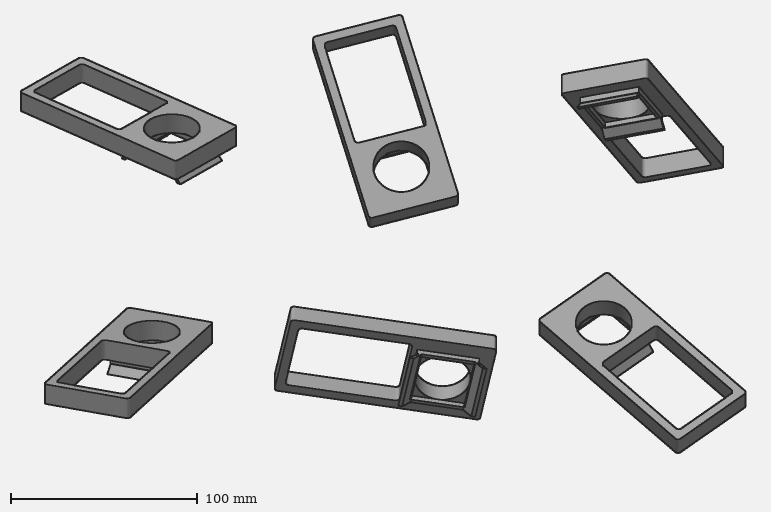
import cadquery as cq

plate_length = 112.0
plate_width = 49.8
plate_height = 11.5
outer_radius = 1.9

rim = 5.0
window_length = 62.0
window_width = plate_width - 2 * rim
window_radius = 2.0

hole_diameter = 30.0
hole_x = 87.0
collar_opening = hole_diameter
collar_wall = 1.9
collar_size = collar_opening + 2 * collar_wall
collar_height = 3.4

lip_drop = 4.5
lip_spread = lip_drop
lip_thickness_x = 2.1
lip_inset = 0.5


def make_plate():
    """Rounded plate with its underside at Z = 0 and its left end at X = 0."""
    plate = (
        cq.Workplane("XY")
        .box(plate_length, plate_width, plate_height, centered=(False, True, False))
        .edges("|Z")
        .fillet(outer_radius)
    )
    window = (
        cq.Workplane("XY")
        .center(rim + window_length / 2, 0)
        .rect(window_length, window_width)
        .extrude(plate_height)
        .edges("|Z")
        .fillet(window_radius)
    )
    hole = cq.Workplane("XY").center(hole_x, 0).circle(hole_diameter / 2).extrude(plate_height)
    return plate.cut(window).cut(hole)


def make_collar():
    """Rectangular tube hanging below the plate around the hole."""
    return (
        cq.Workplane("XY")
        .center(hole_x, 0)
        .rect(collar_size, collar_size)
        .rect(collar_opening, collar_opening)
        .extrude(-collar_height)
    )


def make_lip(side):
    """Slanted lip leaning outwards; side is -1 for -X and +1 for +X, set in from the collar face."""
    top_outer = hole_x + side * (collar_size / 2 - lip_inset)
    top_inner = top_outer - side * lip_thickness_x
    spread = side * lip_spread
    lip_bottom = -collar_height - lip_drop
    profile = [
        (top_outer, -collar_height),
        (top_inner, -collar_height),
        (top_inner + spread, lip_bottom),
        (top_outer + spread, lip_bottom),
    ]
    return cq.Workplane("XZ").polyline(profile).close().extrude(collar_size / 2, both=True)


result = make_plate().union(make_collar())
for lip_side in (-1, 1):
    result = result.union(make_lip(lip_side))